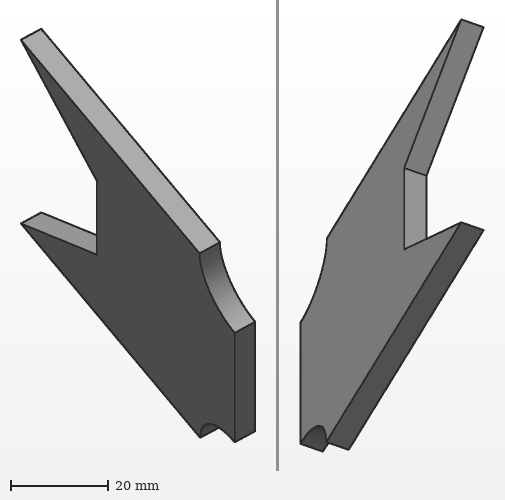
import cadquery as cq

LENGTH = 78.74
THICKNESS = 5.08
HEIGHT = 63.5

NOTCH_DEPTH = 27.94
UPPER_PRONG_HEIGHT = 17.4
LOWER_PRONG_HEIGHT = 20.6

UPPER_SCOOP_RADIUS = 12.95
LOWER_SCOOP_RADIUS = 12.7


def plate_with_notch():
    """Flat plate whose -X end is cut back between two pointed prongs."""
    outline = [
        (0, 0),
        (LENGTH, 0),
        (LENGTH, HEIGHT),
        (0, HEIGHT),
        (NOTCH_DEPTH, HEIGHT - UPPER_PRONG_HEIGHT),
        (NOTCH_DEPTH, LOWER_PRONG_HEIGHT),
    ]
    return cq.Workplane("XZ").polyline(outline).close().extrude(-THICKNESS)


def corner_scoop(z_center, radius):
    """Full-thickness cylinder along Y, centred on a +X corner."""
    return cq.Workplane("XZ").center(LENGTH, z_center).circle(radius).extrude(-THICKNESS)


result = (
    plate_with_notch()
    .cut(corner_scoop(HEIGHT, UPPER_SCOOP_RADIUS))
    .cut(corner_scoop(0, LOWER_SCOOP_RADIUS))
)